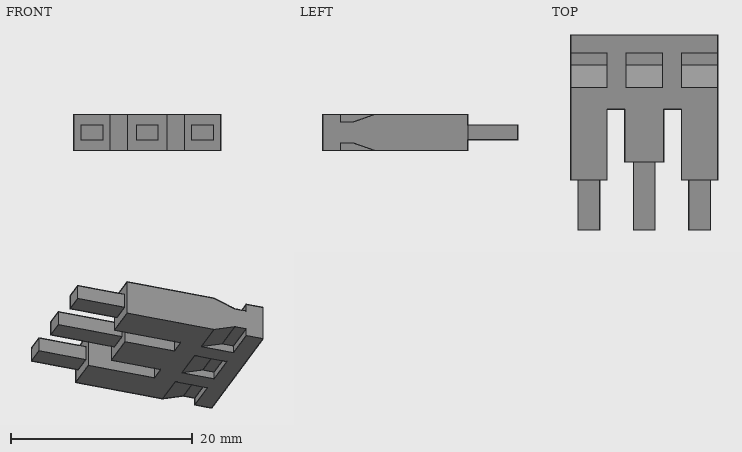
import cadquery as cq

width = 16.2
length = 21.5
thickness = 4.0
mid_x = width / 2
mid_z = thickness / 2

outer_leg_width = 4.0
middle_leg_width = 4.32
bridge_front_y = 13.29
outer_leg_front_y = 5.5
middle_leg_front_y = 7.48
outer_leg_centers = (outer_leg_width / 2, width - outer_leg_width / 2)

pin_width = 2.4
pin_height = 1.65

recess_width = 4.0
recess_depth = 0.85
recess_back_y = 19.5
recess_floor_front_y = 18.17
recess_ramp_front_y = 15.72


def bar(center_x, bar_width, front_y, back_y, height):
    """Box along Y, centred on the given X and on mid thickness."""
    bar_length = back_y - front_y
    return (
        cq.Workplane("XY")
        .box(bar_width, bar_length, height)
        .translate((center_x, front_y + bar_length / 2, mid_z))
    )


def leg_with_pin(center_x, leg_width, leg_front_y):
    """Leg reaching forward from the bridge, with its contact pin."""
    leg = bar(center_x, leg_width, leg_front_y, bridge_front_y, thickness)
    pin = bar(center_x, pin_width, 0, leg_front_y, pin_height)
    return leg.union(pin)


def top_recess(center_x):
    """Cutter with a flat floor, a steep back wall and a ramp to the front."""
    floor_z = thickness - recess_depth
    return (
        cq.Workplane("YZ", origin=(center_x - recess_width / 2, 0, 0))
        .moveTo(recess_back_y, thickness)
        .lineTo(recess_back_y, floor_z)
        .lineTo(recess_floor_front_y, floor_z)
        .lineTo(recess_ramp_front_y, thickness)
        .close()
        .extrude(recess_width)
    )


result = bar(mid_x, width, bridge_front_y, length, thickness)

for leg_x in outer_leg_centers:
    result = result.union(leg_with_pin(leg_x, outer_leg_width, outer_leg_front_y))
result = result.union(leg_with_pin(mid_x, middle_leg_width, middle_leg_front_y))

for recess_x in (*outer_leg_centers, mid_x):
    cutter = top_recess(recess_x)
    result = result.cut(cutter)
    result = result.cut(cutter.mirror("XY", (0, 0, mid_z)))